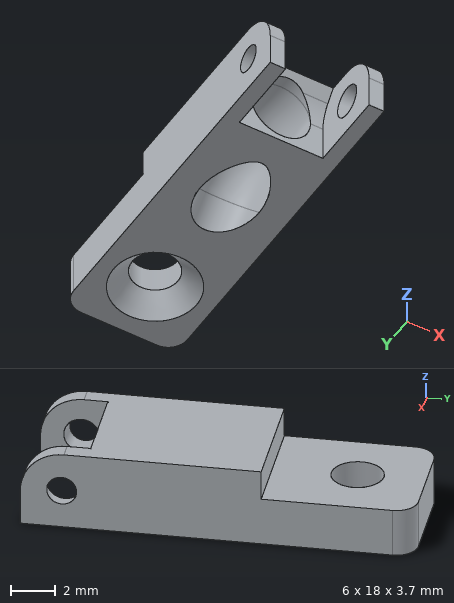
import cadquery as cq
import math

length = 18.0
width = 6.0
height = 3.7
front = -length / 2
back = length / 2
tongue_length = 7.0
tongue_height = 2.3
tongue_corner_radius = 1.0

tongue_hole_diameter = 2.4
tongue_hole_setback = 3.13
countersink_depth = 0.99

arm_nose_radius = 2.0
slot_width = 4.4
pin_outer_diameter = 1.35
pin_inner_diameter = 1.64
pin_setback = 1.89
pin_height = height / 2

slot_top_depth = 3.08
slot_bottom_depth = 3.98
lip_height = 0.6

tunnel_diameter = 3.08
tunnel_bend_radius = 6.26
tunnel_slope = math.radians(45)
exit_length = tunnel_diameter


def make_body():
    """Side outline with rounded fork nose, spread across the width, with rounded tongue corners."""
    profile = (
        cq.Workplane("YZ")
        .moveTo(front, 0)
        .lineTo(back, 0)
        .lineTo(back, tongue_height)
        .lineTo(back - tongue_length, tongue_height)
        .lineTo(back - tongue_length, height)
        .lineTo(front + arm_nose_radius, height)
        .radiusArc((front, height - arm_nose_radius), -arm_nose_radius)
        .close()
    )
    body = profile.extrude(width / 2, both=True)
    return body.edges("|Z and >Y").fillet(tongue_corner_radius)


def make_slot():
    """Gap between the fork arms, including its arched end wall."""
    wall_y = front + slot_bottom_depth
    clearance_radius = slot_bottom_depth - pin_setback
    lip_z = height - lip_height
    lip_y = front + pin_setback + math.sqrt(clearance_radius**2 - (lip_z - pin_height) ** 2)
    return (
        cq.Workplane("YZ")
        .moveTo(front, 0)
        .lineTo(wall_y, 0)
        .lineTo(wall_y, pin_height)
        .radiusArc((lip_y, lip_z), -clearance_radius)
        .lineTo(front + slot_top_depth, height)
        .lineTo(front, height)
        .close()
        .extrude(slot_width / 2, both=True)
    )


def make_tunnel():
    """Pipe along a level run, a downward bend and a straight slope out of the underside."""
    wall_y = front + slot_bottom_depth
    bend_y = wall_y + tunnel_bend_radius * math.sin(tunnel_slope)
    bend_z = pin_height - tunnel_bend_radius * (1 - math.cos(tunnel_slope))
    path = (
        cq.Workplane("YZ")
        .moveTo(front, pin_height)
        .lineTo(wall_y, pin_height)
        .radiusArc((bend_y, bend_z), tunnel_bend_radius)
        .line(exit_length * math.cos(tunnel_slope), -exit_length * math.sin(tunnel_slope))
    )
    return cq.Workplane("XZ", origin=(0, front, pin_height)).circle(tunnel_diameter / 2).sweep(path)


def make_pin_holes():
    """One tapered hole per fork arm, narrow on the outer face and wide on the slot face."""
    arm_thickness = (width - slot_width) / 2
    holes = cq.Workplane()
    for side in (-1, 1):
        hole = cq.Solid.makeCone(
            pin_outer_diameter / 2,
            pin_inner_diameter / 2,
            arm_thickness,
            pnt=cq.Vector(side * width / 2, front + pin_setback, pin_height),
            dir=cq.Vector(-side, 0, 0),
        )
        holes = holes.add(hole)
    return holes.combine()


def make_tongue_hole():
    """Straight hole with its countersink, revolved about the hole axis."""
    radius = tongue_hole_diameter / 2
    return (
        cq.Workplane("XZ")
        .lineTo(radius + countersink_depth, 0)
        .lineTo(radius, countersink_depth)
        .lineTo(radius, tongue_height)
        .lineTo(0, tongue_height)
        .close()
        .revolve(360, (0, 0, 0), (0, 1, 0))
        .translate((0, back - tongue_hole_setback, 0))
    )


result = make_body().cut(make_slot()).cut(make_tunnel()).cut(make_pin_holes()).cut(make_tongue_hole())